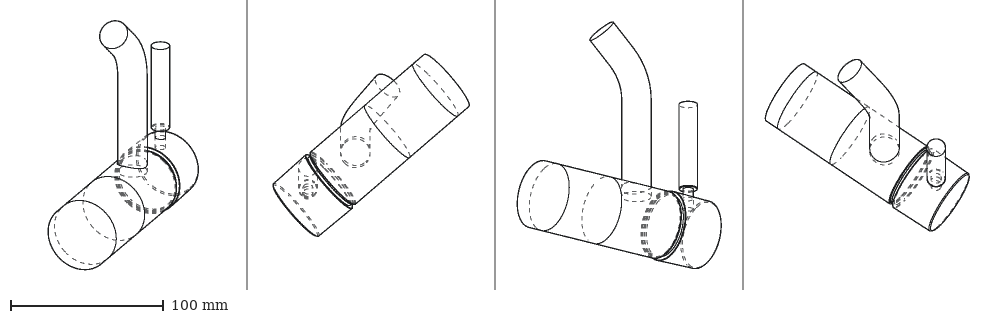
import cadquery as cq
import math


front_y = -80.0
end_cap_rear_y = -70.0
sleeve_rear_y = -27.8
body_rear_y = 19.9
neck_step_y = 21.0
knob_front_y = 22.8
knob_rear_y = 52.5
dome_height = 0.5

body_radius = 22.5
neck_collar_radius = 21.3
neck_radius = 20.8
knob_front_radius = 23.24
knob_rear_radius = 22.7

front_edge_fillet = 0.6
body_rear_chamfer = 0.3
knob_front_chamfer = 0.3
knob_rear_chamfer = 0.8
lever_chamfer = 0.5

lever_y = 41.5
lever_radius = 6.14
lever_bottom_z = 29.5
lever_top_z = 88.7
stem_radius = 3.4

spout_radius = 9.71
bend_start_z = 83.5
bend_radius = 36.5
bend_angle = 48.0
tip_length = 21.5

socket_floor_z = 15.5


def axial_cylinder(radius, y_start, y_end):
    """Cylinder about the body axis between two Y positions."""
    return cq.Workplane("XZ", origin=(0, y_start, 0)).circle(radius).extrude(y_start - y_end)


def make_end_cap():
    cap = axial_cylinder(body_radius, front_y, end_cap_rear_y)
    return cap.faces("<Y").edges().fillet(front_edge_fillet)


def make_sleeve():
    return axial_cylinder(body_radius, end_cap_rear_y, sleeve_rear_y)


def make_spout():
    angle = math.radians(bend_angle)

    def bend_point(turned):
        """Point (y, z) on the bend centreline after turning by an angle."""
        y = -bend_radius * (1 - math.cos(turned))
        z = bend_start_z + bend_radius * math.sin(turned)
        return y, z

    bend_end_y, bend_end_z = bend_point(angle)
    tip_y = bend_end_y - tip_length * math.sin(angle)
    tip_z = bend_end_z + tip_length * math.cos(angle)
    path = (
        cq.Workplane("YZ")
        .moveTo(0, socket_floor_z)
        .lineTo(0, bend_start_z)
        .threePointArc(bend_point(angle / 2), (bend_end_y, bend_end_z))
        .lineTo(tip_y, tip_z)
    )
    return cq.Workplane("XY", origin=(0, 0, socket_floor_z)).circle(spout_radius).sweep(path)


def make_body(spout):
    body = axial_cylinder(body_radius, sleeve_rear_y, body_rear_y)
    body = body.faces(">Y").edges().chamfer(body_rear_chamfer)
    return body.cut(spout)


def make_neck():
    collar = axial_cylinder(neck_collar_radius, body_rear_y, neck_step_y)
    return collar.union(axial_cylinder(neck_radius, neck_step_y, knob_front_y))


def make_lever():
    handle = (
        cq.Workplane("XY", origin=(0, lever_y, lever_bottom_z))
        .circle(lever_radius)
        .extrude(lever_top_z - lever_bottom_z)
        .faces("<Z")
        .edges()
        .chamfer(lever_chamfer)
    )
    stem = (
        cq.Workplane("XY", origin=(0, lever_y, socket_floor_z))
        .circle(stem_radius)
        .extrude(lever_bottom_z - socket_floor_z)
    )
    return handle.union(stem)


def make_knob(lever):
    """Slightly tapered knob with a shallow domed rear face and a socket for the lever."""
    dome_edge_radius = knob_rear_radius - knob_rear_chamfer
    dome_peak_y = knob_rear_y + dome_height
    dome_radius = (dome_edge_radius**2 + dome_height**2) / (2 * dome_height)
    mid_radius = dome_edge_radius / 2
    mid_y = dome_peak_y - dome_radius + math.sqrt(dome_radius**2 - mid_radius**2)
    knob = (
        cq.Workplane("XY")
        .moveTo(0, knob_front_y)
        .lineTo(knob_front_radius - knob_front_chamfer, knob_front_y)
        .lineTo(knob_front_radius, knob_front_y + knob_front_chamfer)
        .lineTo(knob_rear_radius, knob_rear_y - knob_rear_chamfer)
        .lineTo(dome_edge_radius, knob_rear_y)
        .threePointArc((mid_radius, mid_y), (0, dome_peak_y))
        .close()
        .revolve(360, (0, 0, 0), (0, 1, 0))
    )
    return knob.cut(lever)


end_cap = make_end_cap()
sleeve = make_sleeve()
spout = make_spout()
body = make_body(spout)
neck = make_neck()
lever = make_lever()
knob = make_knob(lever)

result = cq.Compound.makeCompound(
    [
        end_cap.val(),
        sleeve.val(),
        body.val(),
        spout.val(),
        neck.val(),
        knob.val(),
        lever.val(),
    ]
)